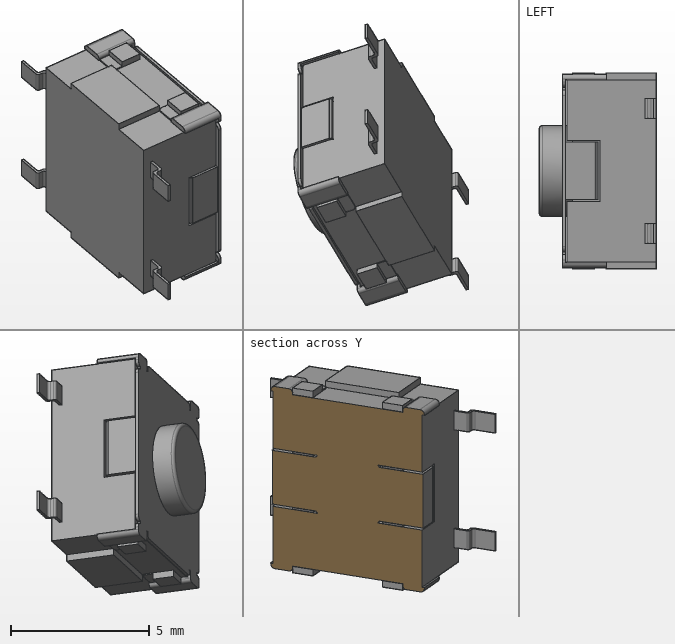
import cadquery as cq

body_width = 5.99
body_length = 6.59
body_height = 3.23

part_length = 7.08
shoulder_height = 1.82
pad_width = 2.93
stud_inner_x = 1.395
stud_bottom = 2.24
stud_top = 3.03
tongue_thickness = 0.045
tongue_corner_radius = 0.14

cover_width = 6.17
cover_length = 7.0
cover_middle_length = 6.64
cover_top = 3.39
cover_thickness = 0.12
cover_corner_radius = 0.18
cover_bottom = cover_top - cover_thickness
leg_bottom = 1.79

end_slot_x = 2.17
end_slot_width = 0.07
end_slot_depth = 0.41
end_slot_radius = 0.135
side_slot_z = 2.98
side_slot_width = 0.09
side_slot_depth = 0.225
side_slot_radius = 0.2
leg_inner_x = end_slot_x + end_slot_width / 2

bar_width = 6.05
bar_length = 2.08
bar_bottom = 2.1
bar_edge_radius = 0.03
bar_step_depth = 0.03
bar_step_height = 0.09
bar_clearance = 0.06

button_radius = 1.65
button_top = 4.23
button_fillet = 0.12

lead_span = 9.0
lead_width = 0.72
lead_z = 2.26
lead_thickness = 0.1
lead_height = 0.405
lead_riser_x = 3.51
lead_bend_radius = 0.09
lead_embed = 0.18


def block(x_min, x_max, y_min, y_max, z_min, z_max):
    """Box given by its limits along each axis."""
    box = cq.Workplane("XY").box(x_max - x_min, y_max - y_min, z_max - z_min, centered=False)
    return box.translate((x_min, y_min, z_min))


def centered_block(width, y_min, y_max, length):
    """Box centred on the button axis."""
    return block(-width / 2, width / 2, y_min, y_max, -length / 2, length / 2)


def on_both_sides(shape, plane):
    """Shape joined with its mirror image."""
    return shape.union(shape.mirror(plane))


def on_four_corners(shape):
    """Shape repeated at all four X and Z corners."""
    return on_both_sides(on_both_sides(shape, "YZ"), "XY")


def make_body():
    """Moulded block with an end pad at each Z end and the crossbar channel."""
    body = centered_block(body_width, 0, body_height, body_length)
    pads = centered_block(pad_width, 0, shoulder_height, part_length)
    channel = centered_block(
        body_width, bar_bottom - bar_clearance, body_height, bar_length + 2 * bar_clearance
    )
    return body.union(pads).cut(channel)


def make_end_studs():
    """Studs with a thin tongue below them, next to each cover leg."""
    stud = block(stud_inner_x, leg_inner_x, stud_bottom, stud_top, 0, part_length / 2)
    tongue = block(
        stud_inner_x, leg_inner_x, shoulder_height, stud_bottom,
        0, body_length / 2 + tongue_thickness,
    )
    tongue = tongue.edges("|Z and <X and <Y").fillet(tongue_corner_radius)
    return on_four_corners(stud.union(tongue))


def make_relief_slots(y_min, y_max):
    """Slots at all corners, without their rounded mouths."""
    end_slot = block(
        leg_inner_x - end_slot_width, leg_inner_x, y_min, y_max,
        cover_length / 2 - end_slot_depth, cover_length / 2,
    )
    side_slot = block(
        cover_width / 2 - side_slot_depth, cover_width / 2, y_min, y_max,
        side_slot_z - side_slot_width / 2, side_slot_z + side_slot_width / 2,
    )
    return on_four_corners(end_slot.union(side_slot))


def is_end_mouth(edge):
    """True for the outer edges of the slots in the Z ends of the cover."""
    center = edge.Center()
    beside_slot = abs(abs(center.x) - end_slot_x) < end_slot_width
    return beside_slot and abs(center.z) > cover_length / 2 - end_slot_depth / 2


def is_side_mouth(edge):
    """True for the outer edges of the slots in the X sides of the cover."""
    center = edge.Center()
    beside_slot = abs(abs(center.z) - side_slot_z) < side_slot_width
    return beside_slot and abs(center.x) > cover_width / 2 - side_slot_depth / 2


def make_cover_blank(y_min, y_max):
    """Cover outline with rounded corners, set-back end edges and relief slots."""
    blank = centered_block(cover_width, y_min, y_max, cover_length)
    blank = blank.edges("|Y").fillet(cover_corner_radius)
    end_recess = centered_block(2 * end_slot_x, y_min, y_max, cover_length)
    end_recess = end_recess.cut(centered_block(cover_width, y_min, y_max, cover_middle_length))
    blank = blank.cut(end_recess).cut(make_relief_slots(y_min, y_max))
    blank = blank.edges("|Y").filter(is_end_mouth).fillet(end_slot_radius)
    return blank.edges("|Y").filter(is_side_mouth).fillet(side_slot_radius)


def make_cover():
    """Top plate with a leg folded down over the Z end at each corner."""
    plate = make_cover_blank(cover_bottom, cover_top)
    leg_zone = block(
        end_slot_x, cover_width, leg_bottom, cover_top, body_length / 2, part_length / 2
    )
    legs = make_cover_blank(leg_bottom, cover_top).intersect(on_four_corners(leg_zone))
    return plate.union(legs)


def make_crossbar():
    """Bar across the body, joined to the button and the cover, with a stepped lower end."""
    bar = centered_block(bar_width, bar_bottom + bar_step_height, cover_top, bar_length)
    lip_width = bar_width - 2 * bar_step_depth
    lip = centered_block(lip_width, bar_bottom, cover_top, bar_length)
    bar = bar.edges("|Z and <Y").fillet(bar_edge_radius)
    lip = lip.edges("|Z and <Y").fillet(bar_edge_radius)
    return bar.union(lip)


def make_button():
    """Round plunger rising through the body and the cover."""
    button = cq.Workplane("XZ").circle(button_radius).extrude(-button_top)
    return button.faces(">Y").edges().fillet(button_fillet)


def make_leads():
    """Bent strip leads, each with a flat foot, a riser and an upper arm set into the body."""
    foot_end = lead_span / 2
    root = body_width / 2 - lead_embed
    riser_outer = lead_riser_x + lead_thickness
    profile = [
        (root, lead_height),
        (riser_outer, lead_height),
        (riser_outer, lead_thickness),
        (foot_end, lead_thickness),
        (foot_end, 0),
        (lead_riser_x, 0),
        (lead_riser_x, lead_height - lead_thickness),
        (root, lead_height - lead_thickness),
    ]
    lead = cq.Workplane("XY").polyline(profile).close().extrude(lead_width)
    lead = lead.translate((0, 0, lead_z - lead_width / 2))
    bends = [
        (riser_outer, lead_height),
        (riser_outer, lead_thickness),
        (lead_riser_x, 0),
        (lead_riser_x, lead_height - lead_thickness),
    ]
    for x, y in bends:
        bend = cq.selectors.NearestToPointSelector((x, y, lead_z))
        lead = lead.edges("|Z").edges(bend).fillet(lead_bend_radius)
    return on_four_corners(lead)


result = (
    make_body()
    .union(make_end_studs())
    .union(make_cover())
    .union(make_crossbar())
    .union(make_button())
    .union(make_leads())
)